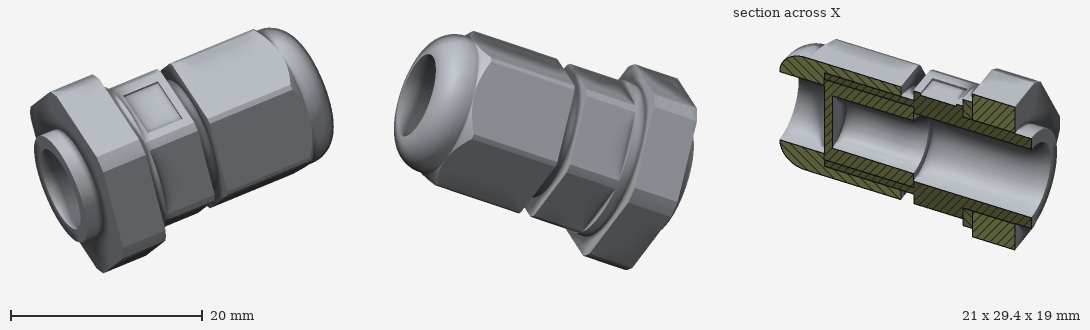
import cadquery as cq
import math


nut_front = 1.9
nut_thickness = 5.0
washer_thickness = 1.15
body_hex_length = 5.7
neck_gap = 1.45
cap_length = 14.2
cap_shoulder_depth = 9.0

washer_front = nut_front + nut_thickness
hex_front = washer_front + washer_thickness
hex_back = hex_front + body_hex_length
cap_front = hex_back + neck_gap
cap_back = cap_front + cap_length
cap_shoulder = cap_front + cap_shoulder_depth

hex_sides = 6
hex_half_angle = math.radians(180 / hex_sides)

nut_flats = 19.0
nut_corner_diameter = 21.0

washer_diameter = 16.8

thread_diameter = 12.0
cable_bore = 9.0
wrench_flats = 15.0
body_corner_diameter = washer_diameter
neck_diameter = 12.5
seat_diameter = 10.6
badge_width = 5.55
badge_height = 4.1
badge_y = 10.85
badge_depth = 0.3

cap_corner_diameter = 17.0
dome_radius = 3.0
dome_collar = 0.45
cap_opening = wrench_flats - 2 * dome_radius
chamfer_angle = math.radians(45)

seal_hole_diameter = 7.0
seal_floor_diameter = 6.9
seal_floor_thickness = 1.0


def section_plane(y):
    """Plane across the gland axis at Y = y, facing +Y, with local x along X."""
    return cq.Plane(origin=(0, y, 0), xDir=(1, 0, 0), normal=(0, 1, 0))


def cylinder(diameter, start, end):
    return cq.Workplane(section_plane(start)).circle(diameter / 2).extrude(end - start)


def hexagon(across_flats, corner_diameter, start, end):
    """Hexagonal bar with flats facing up and down, its corners turned down to a diameter."""
    across_corners = across_flats / math.cos(hex_half_angle)
    sharp_bar = cq.Workplane(section_plane(start)).polygon(hex_sides, across_corners).extrude(end - start)
    return sharp_bar.intersect(cylinder(corner_diameter, start, end))


def make_locknut():
    blank = hexagon(nut_flats, nut_corner_diameter, nut_front, washer_front)
    return blank.cut(cylinder(thread_diameter, nut_front, washer_front))


def make_washer():
    ring = cylinder(washer_diameter, washer_front, hex_front)
    return ring.cut(cylinder(thread_diameter, washer_front, hex_front))


def make_body():
    wrench_hex = hexagon(wrench_flats, body_corner_diameter, hex_front, hex_back)
    thread = cylinder(thread_diameter, 0, hex_front)
    neck = cylinder(neck_diameter, hex_back, cap_shoulder)
    bore = cylinder(cable_bore, 0, hex_back)
    seal_seat = cylinder(seat_diameter, hex_back, cap_shoulder)
    badge_floor = wrench_flats / 2 - badge_depth
    badge_recess = (
        cq.Workplane("XY", origin=(0, badge_y, badge_floor))
        .rect(badge_width, badge_height)
        .extrude(badge_depth)
    )
    return wrench_hex.union(thread).union(neck).cut(bore).cut(seal_seat).cut(badge_recess)


def make_cap_envelope():
    """Turned shape that bounds the cap: chamfered corners, short collar and rounded end."""
    collar_radius = wrench_flats / 2
    corner_radius = cap_corner_diameter / 2
    chamfer_end = cap_back - dome_radius - dome_collar
    chamfer_start = chamfer_end - (corner_radius - collar_radius) / math.tan(chamfer_angle)
    flat_radius = collar_radius - dome_radius
    arc_offset = dome_radius / math.sqrt(2)
    return (
        cq.Workplane("XY")
        .moveTo(0, cap_front)
        .lineTo(corner_radius, cap_front)
        .lineTo(corner_radius, chamfer_start)
        .lineTo(collar_radius, chamfer_end)
        .lineTo(collar_radius, cap_back - dome_radius)
        .threePointArc(
            (flat_radius + arc_offset, cap_back - dome_radius + arc_offset),
            (flat_radius, cap_back),
        )
        .lineTo(0, cap_back)
        .close()
        .revolve(360, (0, 0, 0), (0, 1, 0))
    )


def make_cap():
    blank = hexagon(wrench_flats, cap_corner_diameter, cap_front, cap_back)
    shaped = blank.intersect(make_cap_envelope())
    neck_socket = cylinder(neck_diameter, cap_front, cap_shoulder)
    opening = cylinder(cap_opening, cap_shoulder, cap_back)
    return shaped.cut(neck_socket).cut(opening)


def make_seal():
    """Closed seal with a slightly tapered blind hole open toward the thread end."""
    plug = cylinder(seat_diameter, hex_back, cap_shoulder)
    hole_depth = cap_shoulder - hex_back - seal_floor_thickness
    hole = (
        cq.Workplane(section_plane(hex_back))
        .circle(seal_hole_diameter / 2)
        .workplane(offset=hole_depth)
        .circle(seal_floor_diameter / 2)
        .loft()
    )
    return plug.cut(hole)


locknut = make_locknut()
washer = make_washer()
body = make_body()
cap = make_cap()
seal = make_seal()

result = cq.Compound.makeCompound(
    [locknut.val(), washer.val(), body.val(), cap.val(), seal.val()]
)